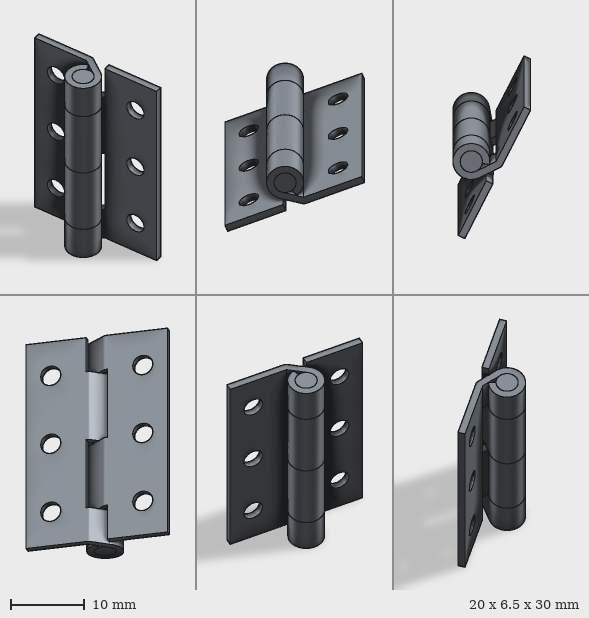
import cadquery as cq
import math

height = 30.0
width = 20.0
depth = 6.5
pin_radius = 1.5
knuckle_diameter = 5.0
bend_x = 1.5
hole_x = 6.5
hole_diameter = 2.82
curl_end_angle = 107.0

knuckle_radius = knuckle_diameter / 2
thickness = knuckle_radius - pin_radius
plate_back_y = depth - knuckle_radius
plate_front_y = plate_back_y - thickness
hole_pitch = height / 3
full_knuckle = height / 3
end_knuckle = full_knuckle / 2

left_knuckles = [(end_knuckle, full_knuckle), (height - end_knuckle, end_knuckle)]
right_knuckles = [(0, end_knuckle), (height / 2, full_knuckle)]


def polar(radius, angle):
    """Point around the pin axis, with the angle in degrees."""
    radians = math.radians(angle)
    return radius * math.cos(radians), radius * math.sin(radians)


def make_plate():
    """Flat left plate with its row of screw holes."""
    plate_width = width / 2 - bend_x
    plate = cq.Workplane("XY").box(plate_width, thickness, height, centered=False)
    plate = plate.translate((-width / 2, plate_front_y, 0))
    holes = (
        cq.Workplane("XZ", origin=(-hole_x, plate_back_y, height / 2))
        .rarray(0.3, hole_pitch, 1, 3)
        .circle(hole_diameter / 2)
        .extrude(thickness)
    )
    return plate.cut(holes)


def make_knuckle(bottom, length):
    """Strap bent from the left plate, running tangent to the pin and curling clockwise around it."""
    bend_distance = math.hypot(bend_x, plate_front_y)
    bend_angle = math.degrees(math.atan2(plate_front_y, -bend_x))
    tangent_angle = bend_angle - math.degrees(math.acos(pin_radius / bend_distance))
    curl_middle_angle = (tangent_angle + curl_end_angle - 360) / 2

    def outer_bend(angle):
        x, y = polar(thickness, angle)
        return x - bend_x, y + plate_front_y

    return (
        cq.Workplane("XY", origin=(0, 0, bottom))
        .moveTo(-bend_x, plate_front_y)
        .lineTo(-bend_x, plate_back_y)
        .threePointArc(outer_bend((90 + tangent_angle) / 2), outer_bend(tangent_angle))
        .lineTo(*polar(knuckle_radius, tangent_angle))
        .threePointArc(polar(knuckle_radius, curl_middle_angle), polar(knuckle_radius, curl_end_angle))
        .lineTo(*polar(pin_radius, curl_end_angle))
        .threePointArc(polar(pin_radius, curl_middle_angle), polar(pin_radius, tangent_angle))
        .close()
        .extrude(length)
    )


def make_leaf(knuckles):
    """Left-hand leaf: one plate with the given knuckles."""
    leaf = make_plate()
    for bottom, length in knuckles:
        leaf = leaf.union(make_knuckle(bottom, length))
    return leaf


def make_pin():
    """Plain pin, flush with both ends of the hinge."""
    return cq.Workplane("XY").circle(pin_radius).extrude(height)


left_leaf = make_leaf(left_knuckles).solids()
right_leaf = make_leaf(right_knuckles).mirror("YZ").solids()
pin = make_pin()

result = cq.Compound.makeCompound([left_leaf.val(), right_leaf.val(), pin.val()])